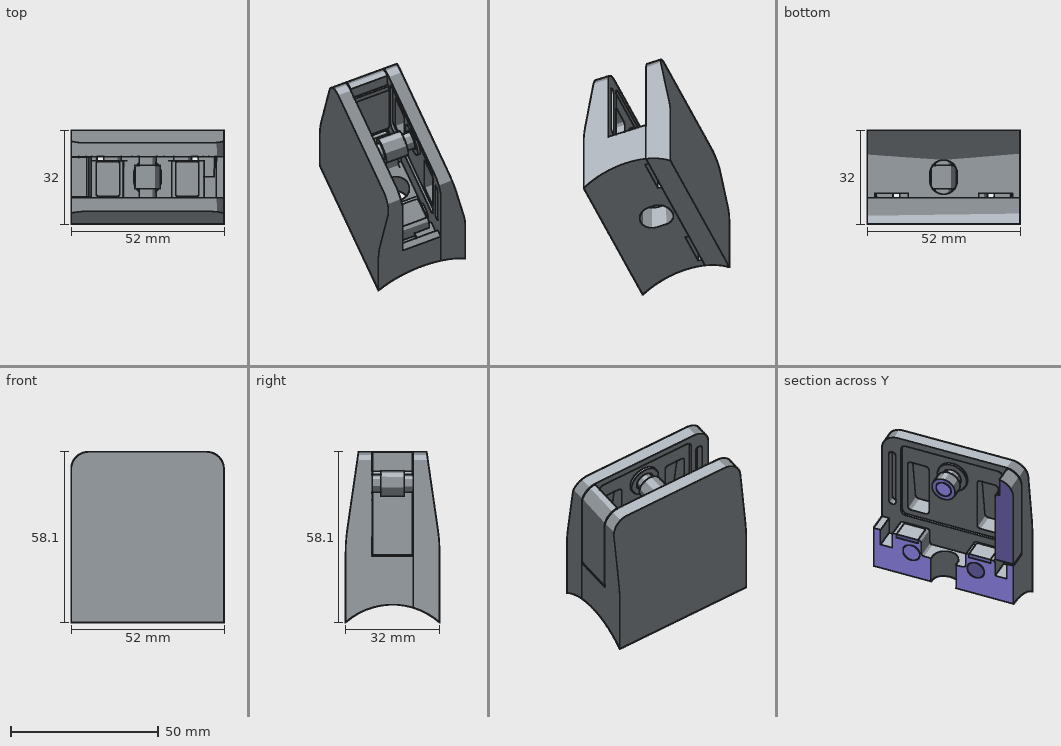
import cadquery as cq
import math

LENGTH = 52.0
HEIGHT = 58.05
HALF_DEPTH = 15.995
TOP_HALF_DEPTH = 11.6
SLOPE_START_Z = 27.75
SLOPE_BLEND_RADIUS = 52.85
CORNER_RADIUS = 6.0
TUBE_RADIUS = 24.15
SLOPE = (HALF_DEPTH - TOP_HALF_DEPTH) / (HEIGHT - SLOPE_START_Z)
TUBE_RISE = TUBE_RADIUS - math.sqrt(TUBE_RADIUS**2 - HALF_DEPTH**2)

CHANNEL_HALF_WIDTH = 6.95
CHANNEL_FLOOR_Z = 22.6
END_WALL = 2.65
LOW_FLOOR_HALF_LENGTH = LENGTH / 2 - END_WALL
LOW_FLOOR_Z = 16.25
BACK_RELIEF_Y = 5.5
MOUNTING_SLOT_WIDTH = 9.2
MOUNTING_SLOT_LENGTH = 11.6

BLOCK_INNER_X = 8.2
BLOCK_OUTER_X = 19.2
BLOCK_FILLET = 1.05

PAD_LENGTH = 7.95
PAD_WIDTH = 11.8
PAD_THICKNESS = 1.45
PAD_CORNER = 0.7
PAD_X = 13.45
PAD_Y = -0.6

RECESS_HALF_LENGTH = 18.9
RECESS_TOP_Z = 55.45
RECESS_BOTTOM_Z = 25.65
RECESS_DEPTH = 1.0
RECESS_CORNER = 2.0
POCKET_LENGTH = 7.95
POCKET_X = 12.9
POCKET_TOP_Z = 48.3
POCKET_BOTTOM_Z = 27.85
POCKET_CORNER = 1.4
POCKET_WALL = 1.3
PIN_BOSS_RADIUS = 5.45

SLOT_WIDTH = 2.6
SLOT_X = 22.1
SLOT_TOP_Z = 51.4
SLOT_BOTTOM_Z = 29.05
SLOT_DEPTH = 2.8

PIN_Z = 47.25
PIN_RADIUS = 2.9
PIN_HOLE_RADIUS = 3.35
PIN_HALF_LENGTH = 10.45
SLEEVE_RADIUS = 4.35
SLEEVE_LENGTH = 8.0

SCREW_RADIUS = 3.0
SCREW_X = 11.95
SCREW_COVER_END_Y = 11.6
SCREW_TIP_Y = -8.1

LUG_INNER_X = 17.1
LUG_OUTER_X = 22.9
LUG_HEIGHT = 4.05
LUG_CORNER = 1.05
LUG_END_Y = 0.1
LUG_DRAFT = 2.0

INSERT_CLEARANCE = 0.25
INSERT_FLOOR_GAP = 0.45
INSERT_INNER_X = -20.7
LIP_INNER_X = -19.1
LIP_CHAMFER = 0.9


def box(x0, x1, y0, y1, z0, z1):
    """Box between two opposite corners."""
    return cq.Workplane("XY").box(x1 - x0, y1 - y0, z1 - z0, centered=False).translate((x0, y0, z0))


def cylinder_y(radius, x, z, y0, y1):
    """Cylinder along Y between y0 and y1."""
    return cq.Workplane("XZ", origin=(x, y0, z)).circle(radius).extrude(y0 - y1)


def upright_prism(x, z0, z1, width, side, y0, y1, corner):
    """Prism along Y with a rounded-rectangle face, between distances y0 and y1 on one side."""
    prism = cq.Workplane("XY").box(width, y1 - y0, z1 - z0).edges("|Y").fillet(corner)
    return prism.translate((x, side * (y0 + y1) / 2, (z0 + z1) / 2))


def round_top_corners(body):
    """Trim a body to the rounded upper corners of the clamp."""
    outline = box(-LENGTH / 2, LENGTH / 2, -HALF_DEPTH, HALF_DEPTH, 0, HEIGHT)
    return body.intersect(outline.edges("|Y and >Z").fillet(CORNER_RADIUS))


def outer_block():
    """Solid clamp outline: sloping sides, concave foot and rounded upper corners."""
    block = (
        cq.Workplane("YZ", origin=(-LENGTH / 2, 0, 0))
        .moveTo(-HALF_DEPTH, 0)
        .threePointArc((0, TUBE_RISE), (HALF_DEPTH, 0))
        .lineTo(HALF_DEPTH, SLOPE_START_Z)
        .lineTo(TOP_HALF_DEPTH, HEIGHT)
        .lineTo(-TOP_HALF_DEPTH, HEIGHT)
        .lineTo(-HALF_DEPTH, SLOPE_START_Z)
        .close()
        .extrude(LENGTH)
    )
    bends = block.faces("<Y or >Y").edges(">Z")
    return round_top_corners(bends.fillet(SLOPE_BLEND_RADIUS))


def core_pocket(x, side):
    """Pocket whose floor runs parallel to the outer slope."""
    pocket = upright_prism(
        x, POCKET_BOTTOM_Z, POCKET_TOP_Z, POCKET_LENGTH, side, CHANNEL_HALF_WIDTH, HALF_DEPTH, POCKET_CORNER
    )
    inner_limit = TOP_HALF_DEPTH - POCKET_WALL
    inside = (
        cq.Workplane("YZ", origin=(-LENGTH / 2, 0, 0))
        .polyline([
            (0, 0),
            (side * (inner_limit + SLOPE * HEIGHT), 0),
            (side * inner_limit, HEIGHT),
            (0, HEIGHT),
        ])
        .close()
        .extrude(LENGTH)
    )
    return pocket.intersect(inside)


def key(x, side, start_y):
    """Round-ended upright key that fills a wall slot."""
    end_y = CHANNEL_HALF_WIDTH + SLOT_DEPTH
    middle_z = (SLOT_BOTTOM_Z + SLOT_TOP_Z) / 2
    return (
        cq.Workplane("XZ", origin=(x, side * start_y, middle_z))
        .slot2D(SLOT_TOP_Z - SLOT_BOTTOM_Z, SLOT_WIDTH, 90)
        .extrude(side * (start_y - end_y))
    )


def cut_wall_details(body, side):
    """Recess, pin boss and hole, core pockets and key slots on the inside of one wall."""
    recess_y = CHANNEL_HALF_WIDTH + RECESS_DEPTH
    recess = upright_prism(
        0, RECESS_BOTTOM_Z, RECESS_TOP_Z, 2 * RECESS_HALF_LENGTH, side,
        CHANNEL_HALF_WIDTH, recess_y, RECESS_CORNER,
    )
    boss = cylinder_y(PIN_BOSS_RADIUS, 0, PIN_Z, side * CHANNEL_HALF_WIDTH, side * recess_y)
    body = body.cut(recess.cut(boss))
    body = body.cut(cylinder_y(PIN_HOLE_RADIUS, 0, PIN_Z, 0, side * PIN_HALF_LENGTH))
    for end in (-1, 1):
        body = body.cut(core_pocket(end * POCKET_X, side))
        body = body.cut(key(end * SLOT_X, side, CHANNEL_HALF_WIDTH))
    return body


def pad_block(end):
    """Raised block with rounded upper edges and a fillet at the foot nearest the middle."""
    top_bend_z = CHANNEL_FLOOR_Z - BLOCK_FILLET
    bend_mid = BLOCK_FILLET * (1 - math.sqrt(0.5))
    profile = (
        cq.Workplane("XZ", origin=(0, BACK_RELIEF_Y, 0))
        .moveTo(end * (BLOCK_INNER_X - BLOCK_FILLET), LOW_FLOOR_Z)
        .threePointArc(
            (end * (BLOCK_INNER_X - bend_mid), LOW_FLOOR_Z + bend_mid),
            (end * BLOCK_INNER_X, LOW_FLOOR_Z + BLOCK_FILLET),
        )
        .lineTo(end * BLOCK_INNER_X, top_bend_z)
        .threePointArc(
            (end * (BLOCK_INNER_X + bend_mid), CHANNEL_FLOOR_Z - bend_mid),
            (end * (BLOCK_INNER_X + BLOCK_FILLET), CHANNEL_FLOOR_Z),
        )
        .lineTo(end * (BLOCK_OUTER_X - BLOCK_FILLET), CHANNEL_FLOOR_Z)
        .threePointArc(
            (end * (BLOCK_OUTER_X - bend_mid), CHANNEL_FLOOR_Z - bend_mid),
            (end * BLOCK_OUTER_X, top_bend_z),
        )
        .lineTo(end * BLOCK_OUTER_X, LOW_FLOOR_Z)
        .close()
    )
    return profile.extrude(BACK_RELIEF_Y + CHANNEL_HALF_WIDTH)


def make_pad(end):
    """Pad set flush into the top of a block."""
    pad = cq.Workplane("XY").box(PAD_LENGTH, PAD_WIDTH, PAD_THICKNESS).edges("|Z").fillet(PAD_CORNER)
    return pad.translate((end * PAD_X, PAD_Y, CHANNEL_FLOOR_Z - PAD_THICKNESS / 2))


def make_screw(end):
    """Plain screw shank from the cover into the housing."""
    return cylinder_y(SCREW_RADIUS, end * SCREW_X, LOW_FLOOR_Z, SCREW_TIP_Y, SCREW_COVER_END_Y)


def make_lug(end):
    """Rounded lug that narrows away from the cover."""
    middle_x = end * (LUG_INNER_X + LUG_OUTER_X) / 2
    section = cq.Sketch().rect(LUG_OUTER_X - LUG_INNER_X, LUG_HEIGHT).vertices().fillet(LUG_CORNER)
    return (
        cq.Workplane("XZ", origin=(middle_x, CHANNEL_HALF_WIDTH, LOW_FLOOR_Z))
        .placeSketch(section)
        .extrude(CHANNEL_HALF_WIDTH - LUG_END_Y, taper=LUG_DRAFT)
    )


def make_housing():
    """Front wall and floor, open to the cover at the back."""
    front = box(-LENGTH, LENGTH, -HALF_DEPTH, CHANNEL_HALF_WIDTH, 0, HEIGHT)
    body = outer_block().intersect(front)
    body = body.cut(
        box(-LENGTH, LENGTH, -CHANNEL_HALF_WIDTH, CHANNEL_HALF_WIDTH, CHANNEL_FLOOR_Z, HEIGHT)
    )
    body = body.cut(
        box(
            -LOW_FLOOR_HALF_LENGTH, LOW_FLOOR_HALF_LENGTH, -CHANNEL_HALF_WIDTH, CHANNEL_HALF_WIDTH,
            LOW_FLOOR_Z, CHANNEL_FLOOR_Z,
        )
    )
    body = cut_wall_details(body, -1)
    mounting_slot = cq.Workplane("XY").slot2D(MOUNTING_SLOT_LENGTH, MOUNTING_SLOT_WIDTH, 90)
    body = body.cut(mounting_slot.extrude(LOW_FLOOR_Z))
    for end in (-1, 1):
        relief_x0, relief_x1 = sorted((end * SCREW_X, end * LOW_FLOOR_HALF_LENGTH))
        body = body.union(pad_block(end))
        body = body.cut(box(relief_x0, relief_x1, BACK_RELIEF_Y, CHANNEL_HALF_WIDTH, 0, LOW_FLOOR_Z))
        body = body.cut(make_pad(end)).cut(make_screw(end)).cut(make_lug(end))
    return body


def make_cover():
    """Back wall with two locating lugs."""
    back = box(-LENGTH, LENGTH, CHANNEL_HALF_WIDTH, HALF_DEPTH, 0, HEIGHT)
    body = cut_wall_details(outer_block().intersect(back), 1)
    for end in (-1, 1):
        body = body.cut(make_screw(end)).union(make_lug(end))
    return body


def make_insert():
    """Strip closing one end of the channel, with a lip and two keys in the wall slots."""
    half_width = CHANNEL_HALF_WIDTH - INSERT_CLEARANCE
    bottom_z = CHANNEL_FLOOR_Z + INSERT_FLOOR_GAP
    strip = box(-LENGTH / 2, INSERT_INNER_X, -half_width, half_width, bottom_z, HEIGHT)
    lip = box(INSERT_INNER_X, LIP_INNER_X, -half_width, half_width, bottom_z, SLOT_TOP_Z)
    body = round_top_corners(strip).union(lip.edges(">X and >Z").chamfer(LIP_CHAMFER))
    for side in (-1, 1):
        body = body.union(key(-SLOT_X, side, 0))
    return body


def make_pin():
    """Pin across the channel, held in both walls."""
    return cylinder_y(PIN_RADIUS, 0, PIN_Z, -PIN_HALF_LENGTH, PIN_HALF_LENGTH)


def make_sleeve():
    """Sleeve around the middle of the pin."""
    sleeve = cylinder_y(SLEEVE_RADIUS, 0, PIN_Z, -SLEEVE_LENGTH / 2, SLEEVE_LENGTH / 2)
    return sleeve.cut(make_pin())


housing = make_housing()
cover = make_cover()
end_insert = make_insert()
pin = make_pin()
sleeve = make_sleeve()
screws = [make_screw(end) for end in (-1, 1)]
pads = [make_pad(end) for end in (-1, 1)]

parts = [housing, cover, end_insert, pin, sleeve, *screws, *pads]
result = cq.Compound.makeCompound([part.val() for part in parts])